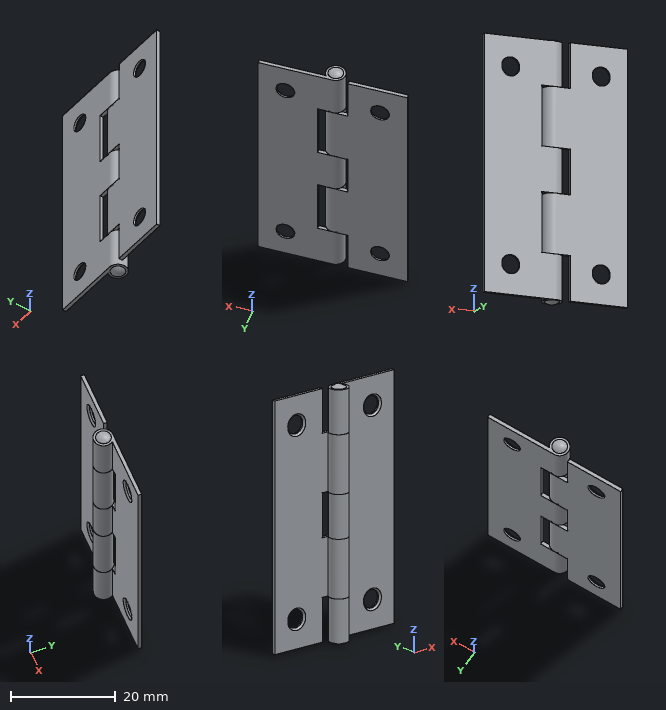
import cadquery as cq
import math


open_width = 30.0
leaf_thickness = 0.8
slot_edge_x = 3.0

barrel_radius = 2.0
pin_radius = 1.5
right_knuckle_count = 3
right_knuckle_length = 9.0
left_knuckle_count = right_knuckle_count - 1
left_knuckle_length = 12.0
leaf_back_y = barrel_radius
leaf_front_y = leaf_back_y - leaf_thickness

pin_projection = 0.6
pin_chamfer_width = 0.25
pin_chamfer_height = 0.2

screw_x = 9.5
screw_inset = 6.0
screw_diameter = 3.7
countersink_diameter = 4.5
countersink_angle = 90.0

knuckle_pitch = right_knuckle_length + left_knuckle_length
leaf_height = left_knuckle_count * knuckle_pitch + right_knuckle_length
leaf_bottom_z = -leaf_height / 2
right_knuckles = [
    (leaf_bottom_z + i * knuckle_pitch, right_knuckle_length) for i in range(right_knuckle_count)
]
left_knuckles = [
    (leaf_bottom_z + right_knuckle_length + i * knuckle_pitch, left_knuckle_length)
    for i in range(left_knuckle_count)
]


def leaf_strip(side, inner_x, outer_x, bottom_z, height):
    """Flat strip of leaf between two distances from the pin axis."""
    return (
        cq.Workplane("XY", origin=(side * (inner_x + outer_x) / 2, leaf_front_y, bottom_z))
        .box(outer_x - inner_x, leaf_thickness, height, centered=(True, False, False))
    )


def make_leaf(side, knuckles):
    """One leaf with its knuckles; side is -1 for the left leaf and +1 for the right."""
    leaf = leaf_strip(side, slot_edge_x, open_width / 2, leaf_bottom_z, leaf_height)

    for bottom_z, length in knuckles:
        barrel = cq.Workplane("XY", origin=(0, 0, bottom_z)).circle(barrel_radius).extrude(length)
        leaf = leaf.union(leaf_strip(side, 0, slot_edge_x, bottom_z, length)).union(barrel)

    pin_bore = cq.Workplane("XY", origin=(0, 0, leaf_bottom_z)).circle(pin_radius).extrude(leaf_height)
    leaf = leaf.cut(pin_bore)

    screw_z = leaf_height / 2 - screw_inset
    return (
        leaf.copyWorkplane(cq.Workplane("XZ", origin=(0, leaf_front_y, 0)))
        .pushPoints([(side * screw_x, -screw_z), (side * screw_x, screw_z)])
        .cskHole(screw_diameter, countersink_diameter, countersink_angle)
    )


def make_pin():
    """Pin that fills the bore, with a chamfered and crowned end above and below the barrel."""
    barrel_end_z = leaf_height / 2
    crown_radius = pin_radius - pin_chamfer_width
    crown_base_z = barrel_end_z + pin_chamfer_height
    crown_top_z = barrel_end_z + pin_projection
    crown_rise = crown_top_z - crown_base_z
    sphere_radius = (crown_radius**2 + crown_rise**2) / (2 * crown_rise)
    sphere_z = crown_top_z - sphere_radius

    crown_mid_x = crown_radius / 2
    crown_mid_z = sphere_z + math.sqrt(sphere_radius**2 - crown_mid_x**2)

    return (
        cq.Workplane("XZ")
        .moveTo(0, -crown_top_z)
        .threePointArc((crown_mid_x, -crown_mid_z), (crown_radius, -crown_base_z))
        .lineTo(pin_radius, -barrel_end_z)
        .lineTo(pin_radius, barrel_end_z)
        .lineTo(crown_radius, crown_base_z)
        .threePointArc((crown_mid_x, crown_mid_z), (0, crown_top_z))
        .close()
        .revolve(360, (0, 0, 0), (0, 1, 0))
    )


left_leaf = make_leaf(-1, left_knuckles)
right_leaf = make_leaf(1, right_knuckles)
pin = make_pin()

result = cq.Compound.makeCompound([
    left_leaf.solids().val(),
    right_leaf.solids().val(),
    pin.solids().val(),
])